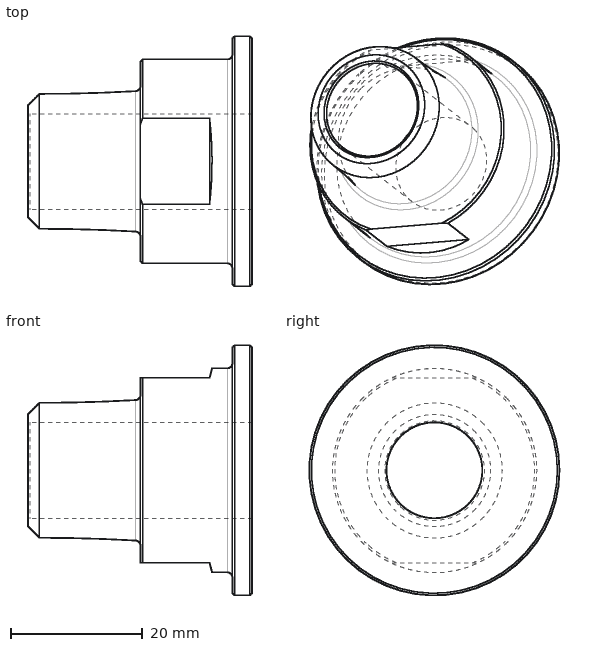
import cadquery as cq
import math

length = 34.0
flange_radius = 19.0
flange_thickness = 3.0
flange_chamfer = 0.35
collar_radius = 15.5
collar_start = 17.05
collar_chamfer = 0.35
spigot_radius = 10.25
spigot_root_radius = 10.68
tip_radius = 8.5
tip_chamfer_length = 1.75
root_fillet = 0.75
bore_radius = 14.5 / 2
bore_chamfer = 0.3
flat_height = 14.05
flat_end = 27.55
flat_runout_angle = 15.0

flange_start = length - flange_thickness
corner = root_fillet * math.sqrt(0.5)


def concave_fillet(profile, wall_x, radius):
    """Quarter arc from a surface of the given radius up to a wall facing -X."""
    centre_x = wall_x - root_fillet
    centre_r = radius + root_fillet
    return profile.threePointArc(
        (centre_x + corner, centre_r - corner), (wall_x, centre_r)
    )


def flared_spigot(profile):
    """Arc that leaves the tip parallel to the axis and flares to the root."""
    run = collar_start - root_fillet - tip_chamfer_length
    rise = spigot_root_radius - spigot_radius
    flare_radius = (run**2 + rise**2) / (2 * rise)
    middle_rise = flare_radius - math.sqrt(flare_radius**2 - (run / 2) ** 2)
    return profile.threePointArc(
        (tip_chamfer_length + run / 2, spigot_radius + middle_rise),
        (tip_chamfer_length + run, spigot_root_radius),
    )


def turned_body():
    profile = (
        cq.Workplane("XY")
        .moveTo(0, bore_radius + bore_chamfer)
        .lineTo(0, tip_radius)
        .lineTo(tip_chamfer_length, spigot_radius)
    )
    profile = flared_spigot(profile)
    profile = concave_fillet(profile, collar_start, spigot_root_radius)
    profile = (
        profile.lineTo(collar_start, collar_radius - collar_chamfer)
        .lineTo(collar_start + collar_chamfer, collar_radius)
        .lineTo(flange_start - root_fillet, collar_radius)
    )
    profile = concave_fillet(profile, flange_start, collar_radius)
    profile = (
        profile.lineTo(flange_start, flange_radius - flange_chamfer)
        .lineTo(flange_start + flange_chamfer, flange_radius)
        .lineTo(length - flange_chamfer, flange_radius)
        .lineTo(length, flange_radius - flange_chamfer)
        .lineTo(length, bore_radius)
        .lineTo(bore_chamfer, bore_radius)
        .close()
    )
    return profile.revolve(360, (0, 0, 0), (1, 0, 0))


def flat_cutter():
    """Block above the upper wrench flat, with a sloping end face."""
    cutter_height = flange_radius - flat_height
    runout = cutter_height * math.tan(math.radians(flat_runout_angle))
    return (
        cq.Workplane("XZ")
        .moveTo(0, flat_height)
        .lineTo(flat_end, flat_height)
        .lineTo(flat_end + runout, flange_radius)
        .lineTo(0, flange_radius)
        .close()
        .extrude(flange_radius, both=True)
    )


upper_cutter = flat_cutter()
lower_cutter = upper_cutter.mirror("XY")
result = turned_body().cut(upper_cutter).cut(lower_cutter)